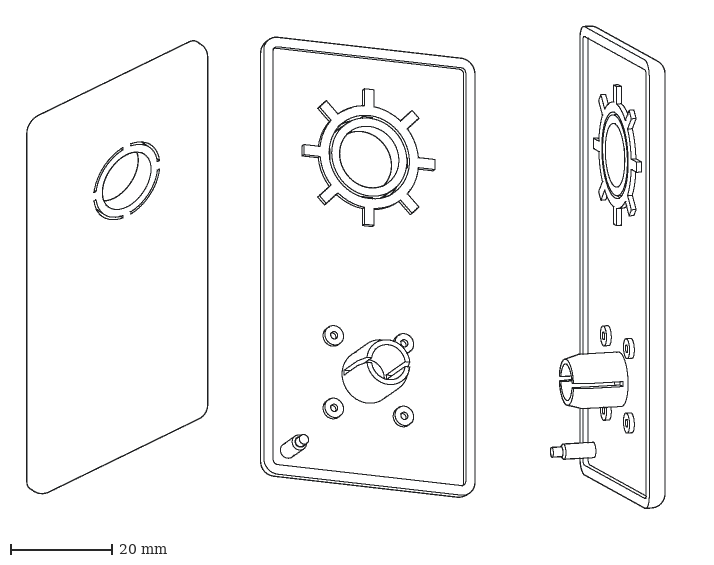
import cadquery as cq

TOTAL_DEPTH = 14.0
WIDTH = 45.0
HEIGHT = 90.0
PLATE_THICKNESS = 4.05
CORNER_RADIUS = 3.0
FRONT_EDGE_RADIUS = 2.8

RIM_WIDTH = 2.0
POCKET_DEPTH = 1.1
RELIEF_HEIGHT = 1.0

GEAR_Z = 22.5
GEAR_RADIUS = 10.5
SPOKE_TIP_RADIUS = 13.95
SPOKE_WIDTH = 2.1
SPOKE_COUNT = 8
RING_GAP_OUTER_RADIUS = 8.55
RING_GAP_INNER_RADIUS = 8.0
RING_BRIDGE_COUNT = 4
RING_BRIDGE_WIDTH = SPOKE_WIDTH
WINDOW_RADIUS = 6.3

TUBE_Z = -GEAR_Z
TUBE_RADIUS = 5.4
TUBE_TIP_RADIUS = 4.6
TUBE_TAPER_LENGTH = 3.0
TUBE_BORE_RADIUS = 3.6
TUBE_SLOT_WIDTH = 1.0

BOSS_OFFSET = 7.5
BOSS_RADIUS = 2.0
BOSS_HOLE_RADIUS = 0.75

PIN_Y = 17.0
PIN_Z = -39.6
PIN_LENGTH = 7.6
PIN_RADIUS = 1.5
PIN_CHAMFER = 0.45
PIN_TIP_RADIUS = 1.0
PIN_TIP_LENGTH = 2.0

FRONT_X = TOTAL_DEPTH
RIM_X = FRONT_X - PLATE_THICKNESS
FLOOR_X = RIM_X + POCKET_DEPTH
RELIEF_X = FLOOR_X - RELIEF_HEIGHT
TUBE_TIP_X = 0.0
PIN_TIP_X = RIM_X - PIN_LENGTH


def plane_at(x, y=0.0, z=0.0):
    """Workplane facing +X, with local axes along Y and Z."""
    return cq.Workplane("YZ", origin=(x, y, z))


def cylinder(radius, x_start, x_end, y=0.0, z=0.0):
    return plane_at(x_start, y, z).circle(radius).extrude(x_end - x_start)


def make_plate():
    plate = plane_at(RIM_X).rect(WIDTH, HEIGHT).extrude(PLATE_THICKNESS)
    plate = plate.edges("|X").fillet(CORNER_RADIUS)
    plate = plate.faces(">X").edges().fillet(FRONT_EDGE_RADIUS)
    pocket = (
        plane_at(RIM_X)
        .rect(WIDTH - 2 * RIM_WIDTH, HEIGHT - 2 * RIM_WIDTH)
        .extrude(POCKET_DEPTH)
        .edges("|X")
        .fillet(CORNER_RADIUS - RIM_WIDTH)
    )
    return plate.cut(pocket)


def make_gear():
    gear = cylinder(GEAR_RADIUS, RELIEF_X, FLOOR_X, z=GEAR_Z)
    for i in range(SPOKE_COUNT // 2):
        spoke_pair = (
            plane_at(RELIEF_X, z=GEAR_Z)
            .transformed(rotate=(0, 0, i * 360 / SPOKE_COUNT))
            .rect(2 * SPOKE_TIP_RADIUS, SPOKE_WIDTH)
            .extrude(RELIEF_HEIGHT)
        )
        gear = gear.union(spoke_pair)
    return gear


def make_ring_gap():
    """Annular slot through the plate, bridged at the floor level of the pocket."""
    gap = (
        plane_at(RELIEF_X, z=GEAR_Z)
        .circle(RING_GAP_OUTER_RADIUS)
        .circle(RING_GAP_INNER_RADIUS)
        .extrude(FRONT_X - RELIEF_X)
    )
    for i in range(RING_BRIDGE_COUNT // 2):
        bridge_pair = (
            plane_at(FLOOR_X, z=GEAR_Z)
            .transformed(rotate=(0, 0, i * 360 / RING_BRIDGE_COUNT))
            .rect(2 * SPOKE_TIP_RADIUS, RING_BRIDGE_WIDTH)
            .extrude(FRONT_X - FLOOR_X)
        )
        gap = gap.cut(bridge_pair)
    return gap


def make_tube():
    """Hollow tapered tube, slotted across its diameter down to the rim level."""
    taper_end_x = TUBE_TIP_X + TUBE_TAPER_LENGTH
    tube = cylinder(TUBE_RADIUS, taper_end_x, FLOOR_X, z=TUBE_Z)
    tip = (
        plane_at(TUBE_TIP_X, z=TUBE_Z)
        .circle(TUBE_TIP_RADIUS)
        .workplane(offset=TUBE_TAPER_LENGTH)
        .circle(TUBE_RADIUS)
        .loft()
    )
    bore = cylinder(TUBE_BORE_RADIUS, TUBE_TIP_X, FLOOR_X, z=TUBE_Z)
    slot = (
        plane_at(TUBE_TIP_X, z=TUBE_Z)
        .rect(2 * TUBE_RADIUS, TUBE_SLOT_WIDTH)
        .extrude(RIM_X - TUBE_TIP_X)
    )
    return tube.union(tip).cut(bore).cut(slot)


def make_bosses():
    return (
        plane_at(RELIEF_X, z=TUBE_Z)
        .rect(2 * BOSS_OFFSET, 2 * BOSS_OFFSET, forConstruction=True)
        .vertices()
        .circle(BOSS_RADIUS)
        .circle(BOSS_HOLE_RADIUS)
        .extrude(RELIEF_HEIGHT)
    )


def make_pin():
    shoulder_x = PIN_TIP_X + PIN_TIP_LENGTH
    shaft = cylinder(PIN_RADIUS, shoulder_x, FLOOR_X, PIN_Y, PIN_Z)
    shaft = shaft.faces("<X").chamfer(PIN_CHAMFER)
    tip = cylinder(PIN_TIP_RADIUS, PIN_TIP_X, shoulder_x, PIN_Y, PIN_Z)
    return shaft.union(tip)


window = cylinder(WINDOW_RADIUS, RELIEF_X, FRONT_X, z=GEAR_Z)

result = (
    make_plate()
    .union(make_gear())
    .cut(make_ring_gap())
    .cut(window)
    .union(make_tube())
    .union(make_bosses())
    .union(make_pin())
)